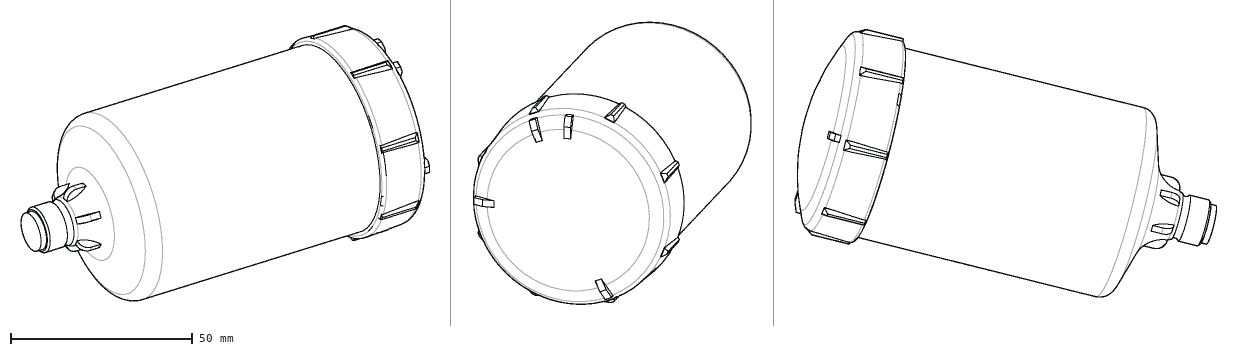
import cadquery as cq
import math

total_length = 116.4

tip_radius = 11.0 / 2
collar_radius = 13.2 / 2
collar_chamfer = 0.6
collar_start = 1.7
collar_end = 7.8
groove_radius = 5.9
groove_end = 9.9

flare_start = 10.9
flare_center = (16.3, 10.0)
flare_round = 9.3
shoulder_slope = math.radians(18.4)
shoulder_round = 4.1
body_radius = 53.9 / 2
body_start = 26.3

fin_count = 6
fin_width = 1.9
fin_radius = 10.1
fin_end = 17.5
fin_corner_round = 3.0

cap_start = 95.7
cap_lip_radius = 57.8 / 2
cap_lip_round = 0.9
cap_top_radius = 28.3
cap_wall_end = 109.3
cap_edge_round = 2.2
dome_radius = 46.8 / 2
dome_start = 111.5

grip_count = 8
grip_base_width = 2.9
grip_top_width = 0.9
grip_root_radius = 25.6
grip_base_radius = 28.4
grip_radius = 29.5
grip_start = cap_start + 0.5
grip_end = 108.2
grip_slope_length = 1.4
grip_slope_depth = 1.0

rim_bar_angles = [0, 22.5, 90, 205]
rim_bar_width = 2.0
rim_bar_inner_radius = 21.0
rim_bar_bend_radius = 24.5
rim_bar_outer_radius = 27.2
rim_bar_bottom = 107.7
rim_bar_outer_height = 111.3
rim_bar_top = 112.4


def point_on_circle(center, radius, angle):
    return (center[0] + radius * math.cos(angle), center[1] + radius * math.sin(angle))


def revolve_about_y(profile):
    return profile.close().revolve(360, (0, 0, 0), (0, 1, 0))


def turned_from_z(shape, angle):
    """Turn a shape that points along +X so that it points at this angle from +Z toward +X."""
    return shape.rotate((0, 0, 0), (0, 1, 0), angle - 90)


def make_body():
    cone_normal = shoulder_slope - math.pi / 2
    flare_bottom_angle = math.pi - math.asin((flare_start - flare_center[1]) / flare_round)
    flare_top_angle = math.pi + cone_normal
    flare_middle_angle = (flare_bottom_angle + flare_top_angle) / 2
    shoulder_center = (body_radius - shoulder_round, body_start)
    return revolve_about_y(
        cq.Workplane("XY")
        .lineTo(tip_radius, 0)
        .lineTo(tip_radius, collar_start)
        .lineTo(collar_radius - collar_chamfer, collar_start)
        .lineTo(collar_radius, collar_start + collar_chamfer)
        .lineTo(collar_radius, collar_end)
        .threePointArc((groove_radius, (collar_end + groove_end) / 2), (collar_radius, groove_end))
        .lineTo(*point_on_circle(flare_center, flare_round, flare_bottom_angle))
        .threePointArc(
            point_on_circle(flare_center, flare_round, flare_middle_angle),
            point_on_circle(flare_center, flare_round, flare_top_angle),
        )
        .lineTo(*point_on_circle(shoulder_center, shoulder_round, cone_normal))
        .threePointArc(
            point_on_circle(shoulder_center, shoulder_round, cone_normal / 2),
            (body_radius, body_start),
        )
        .lineTo(body_radius, cap_start)
        .lineTo(0, cap_start)
    )


def make_cap():
    dome_rise = total_length - dome_start
    sphere_radius = (dome_radius**2 + dome_rise**2) / (2 * dome_rise)
    sphere_center = (0, total_length - sphere_radius)
    dome_middle_angle = math.pi / 2 - math.asin(dome_radius / sphere_radius) / 2
    cap = revolve_about_y(
        cq.Workplane("XY")
        .moveTo(0, cap_start)
        .lineTo(cap_lip_radius, cap_start)
        .lineTo(cap_top_radius, cap_wall_end)
        .lineTo(dome_radius, dome_start)
        .threePointArc(
            point_on_circle(sphere_center, sphere_radius, dome_middle_angle),
            (0, total_length),
        )
    )
    wall_top_edge = cq.selectors.BoxSelector(
        (-cap_lip_radius, cap_wall_end - 0.1, -cap_lip_radius),
        (cap_lip_radius, cap_wall_end + 0.1, cap_lip_radius),
        boundingbox=True,
    )
    return cap.faces("<Y").edges().fillet(cap_lip_round).edges(wall_top_edge).fillet(cap_edge_round)


def make_fin():
    return (
        cq.Workplane("XY", origin=(0, flare_start, 0))
        .rect(fin_radius, fin_end - flare_start, centered=False)
        .extrude(fin_width / 2, both=True)
        .edges(">X and <Y")
        .fillet(fin_corner_round)
    )


def make_grip_rib():
    half_base = grip_base_width / 2
    half_top = grip_top_width / 2
    section = [
        (grip_root_radius, half_base),
        (grip_base_radius, half_base),
        (grip_radius, half_top),
        (grip_radius, -half_top),
        (grip_base_radius, -half_base),
        (grip_root_radius, -half_base),
    ]
    rib = (
        cq.Workplane("XZ", origin=(0, grip_start, 0))
        .polyline(section)
        .close()
        .extrude(grip_start - grip_end)
    )
    upper_end = (
        cq.Workplane("XY")
        .moveTo(grip_radius, grip_end)
        .lineTo(grip_radius - grip_slope_depth, grip_end)
        .lineTo(grip_radius, grip_end - grip_slope_length)
        .close()
        .extrude(half_base, both=True)
    )
    return rib.cut(upper_end)


def make_rim_bar():
    outline = [
        (rim_bar_inner_radius, rim_bar_bottom),
        (rim_bar_inner_radius, rim_bar_top),
        (rim_bar_bend_radius, rim_bar_top),
        (rim_bar_outer_radius, rim_bar_outer_height),
        (rim_bar_outer_radius, rim_bar_bottom),
    ]
    return cq.Workplane("XY").polyline(outline).close().extrude(rim_bar_width / 2, both=True)


result = make_body().union(make_cap())

for index in range(fin_count):
    result = result.union(turned_from_z(make_fin(), index * 360 / fin_count))

for index in range(grip_count):
    result = result.union(turned_from_z(make_grip_rib(), (index + 0.5) * 360 / grip_count))

for angle in rim_bar_angles:
    result = result.union(turned_from_z(make_rim_bar(), angle))